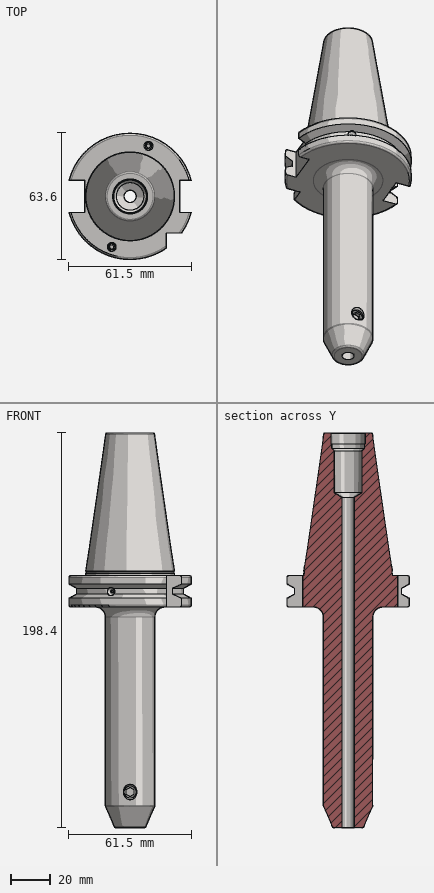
import cadquery as cq
import math


SECTION = cq.Plane(origin=(0, 0, 0), xDir=(0, -1, 0), normal=(-1, 0, 0))

gauge_radius = 44.45 / 2
taper_slope = 7 / 48
taper_height = 68.4
taper_top_radius = gauge_radius - taper_slope * taper_height
taper_top_round = 0.8
taper_foot_z = -1.0
taper_foot_radius = gauge_radius - taper_slope * taper_foot_z
relief_depth = 0.2
relief_width = 1.2

flange_radius = 63.55 / 2
flange_top_z = -3.2
flange_bottom_z = -19.1
flange_edge_round = 1.0
groove_z = -11.1
groove_root_radius = 56.25 / 2
groove_mouth_width = 7.1
groove_flank_angle = 30
groove_depth = flange_radius - groove_root_radius
groove_root_width = groove_mouth_width - 2 * groove_depth * math.tan(math.radians(groove_flank_angle))

slot_width = 16.1
slot_floor_left = 22.8
slot_floor_right = 25.0
notch_x = 18.2
notch_y = -18.5

shank_radius = 12.5
shank_fillet = 5.0
shank_end_z = -130.0
nose_length = 10.9
nose_end_radius = 7.75
nose_shoulder_round = 1.0
nose_end_round = 1.2

tool_bore_radius = 3.0
counterbore_radius = 8.5
counterbore_depth = 5.5
counterbore_chamfer = 0.3
throat_radius = 8.2
throat_depth = 7.7
thread_core_radius = 6.9
thread_depth = 30.0
drill_tip_half_angle = 59

coolant_circle_radius = 27.0
coolant_angle = 20
inlet_radius = 1.65
inlet_countersink_radius = 2.25
inlet_depth = 1.5
inlet_socket_width = 2.0
inlet_socket_depth = 1.5
port_z = -11.3
port_radius = 0.75
port_countersink_radius = 2.0
port_depth = 3.0
port_mouth_depth = 0.3

screw_z = -112.0
screw_hole_radius = 3.0
screw_hole_depth = 2.0
screw_countersink_radius = 3.9
screw_socket_width = 4.0
screw_socket_depth = 2.0


def revolve_half_profile(profile):
    """Turn a closed (radius, Z) half profile about the Z axis."""
    return profile.close().revolve(360, (0, 0, 0), (0, 1, 0))


def make_taper():
    relief_radius = taper_foot_radius - relief_depth
    relief_bottom_z = taper_foot_z - relief_width
    profile = (
        cq.Workplane(SECTION)
        .moveTo(0, taper_height)
        .lineTo(taper_top_radius, taper_height)
        .lineTo(taper_foot_radius, taper_foot_z)
        .lineTo(relief_radius, taper_foot_z - relief_depth)
        .lineTo(relief_radius, relief_bottom_z + relief_depth)
        .lineTo(taper_foot_radius, relief_bottom_z)
        .lineTo(taper_foot_radius, flange_top_z)
        .lineTo(0, flange_top_z)
    )
    return revolve_half_profile(profile).faces(">Z").edges().fillet(taper_top_round)


def make_flange():
    flange = (
        cq.Workplane("XY", origin=(0, 0, flange_bottom_z))
        .circle(flange_radius)
        .extrude(flange_top_z - flange_bottom_z)
        .edges()
        .fillet(flange_edge_round)
    )
    groove = (
        cq.Workplane(SECTION)
        .moveTo(flange_radius, groove_z - groove_mouth_width / 2)
        .lineTo(groove_root_radius, groove_z - groove_root_width / 2)
        .lineTo(groove_root_radius, groove_z + groove_root_width / 2)
        .lineTo(flange_radius, groove_z + groove_mouth_width / 2)
    )
    return flange.cut(revolve_half_profile(groove))


def box_through_flange(x_min, x_max, y_min, y_max):
    return (
        cq.Workplane("XY", origin=(0, 0, flange_bottom_z))
        .moveTo(x_min, y_min)
        .lineTo(x_max, y_min)
        .lineTo(x_max, y_max)
        .lineTo(x_min, y_max)
        .close()
        .extrude(flange_top_z - flange_bottom_z)
    )


def cut_flange_openings(body):
    half_slot = slot_width / 2
    left_slot = box_through_flange(-flange_radius, -slot_floor_left, -half_slot, half_slot)
    right_slot = box_through_flange(slot_floor_right, flange_radius, -half_slot, half_slot)
    notch = box_through_flange(notch_x, flange_radius, -flange_radius, notch_y)
    return body.cut(left_slot).cut(right_slot).cut(notch)


def make_shank():
    nose_top_z = shank_end_z + nose_length
    shank = revolve_half_profile(
        cq.Workplane(SECTION)
        .moveTo(0, flange_bottom_z)
        .lineTo(shank_radius, flange_bottom_z)
        .lineTo(shank_radius, nose_top_z)
        .lineTo(nose_end_radius, shank_end_z)
        .lineTo(0, shank_end_z)
    )
    shank = shank.faces("<Z").edges().fillet(nose_end_round)
    shoulder = cq.selectors.NearestToPointSelector((0, 0, nose_top_z))
    shank = shank.edges(shoulder).fillet(nose_shoulder_round)
    neck = revolve_half_profile(
        cq.Workplane(SECTION)
        .moveTo(0, flange_bottom_z)
        .lineTo(shank_radius + shank_fillet, flange_bottom_z)
        .radiusArc((shank_radius, flange_bottom_z - shank_fillet), -shank_fillet)
        .lineTo(0, flange_bottom_z - shank_fillet)
    )
    return shank.union(neck)


def make_bore():
    """Counterbore, pull-stud thread core and through bore, all on the Z axis."""
    throat_z = taper_height - throat_depth
    throat_chamfer = throat_radius - thread_core_radius
    cone_top_z = taper_height - thread_depth
    cone_height = (thread_core_radius - tool_bore_radius) / math.tan(math.radians(drill_tip_half_angle))
    return revolve_half_profile(
        cq.Workplane(SECTION)
        .moveTo(0, taper_height)
        .lineTo(counterbore_radius + counterbore_chamfer, taper_height)
        .lineTo(counterbore_radius, taper_height - counterbore_chamfer)
        .lineTo(counterbore_radius, taper_height - counterbore_depth)
        .lineTo(throat_radius, taper_height - counterbore_depth)
        .lineTo(throat_radius, throat_z)
        .lineTo(thread_core_radius, throat_z - throat_chamfer)
        .lineTo(thread_core_radius, cone_top_z)
        .lineTo(tool_bore_radius, cone_top_z - cone_height)
        .lineTo(tool_bore_radius, shank_end_z)
        .lineTo(0, shank_end_z)
    )


def countersunk_hole(rim_radius, hole_radius, depth):
    """Blind hole going down from the origin along -Z, with a 90 degree countersink at its mouth."""
    return revolve_half_profile(
        cq.Workplane(SECTION)
        .lineTo(rim_radius, 0)
        .lineTo(hole_radius, hole_radius - rim_radius)
        .lineTo(hole_radius, -depth)
        .lineTo(0, -depth)
    )


def hex_socket(floor_depth, width_across_flats, depth):
    """Hexagonal pocket that starts at a hole floor below the origin."""
    return (
        cq.Workplane("XY", origin=(0, 0, -floor_depth))
        .polygon(6, width_across_flats, circumscribed=True)
        .extrude(-depth)
    )


def face_toward_front(hole):
    """Turn a hole that goes down along -Z so that it goes inward along +Y."""
    return hole.rotate((0, 0, 0), (1, 0, 0), 90)


def make_coolant_hole():
    """Socketed blind hole in the flange face and radial port in the groove root."""
    port_cone_distance = groove_root_radius - port_mouth_depth
    port_mouth_height = flange_radius - port_cone_distance
    inlet = countersunk_hole(inlet_countersink_radius, inlet_radius, inlet_depth)
    socket = hex_socket(inlet_depth, inlet_socket_width, inlet_socket_depth)
    inlet = inlet.union(socket).translate((0, -coolant_circle_radius, flange_top_z))
    port = countersunk_hole(port_countersink_radius, port_radius, port_depth)
    mouth = cq.Workplane("XY").circle(port_countersink_radius).extrude(port_mouth_height)
    port = face_toward_front(port.union(mouth)).translate((0, -port_cone_distance, port_z))
    return inlet.union(port).rotate((0, 0, 0), (0, 0, 1), -coolant_angle)


def make_screw_hole():
    """Countersunk blind hole with a hexagonal socket in its floor, entering the shank from -Y."""
    hole = countersunk_hole(screw_countersink_radius, screw_hole_radius, screw_hole_depth)
    socket = hex_socket(screw_hole_depth, screw_socket_width, screw_socket_depth)
    return face_toward_front(hole.union(socket)).translate((0, -shank_radius, screw_z))


body = make_flange().union(make_taper()).union(make_shank())
body = cut_flange_openings(body).cut(make_bore())
for turn in (0, 180):
    for hole in (make_coolant_hole(), make_screw_hole()):
        body = body.cut(hole.rotate((0, 0, 0), (0, 0, 1), turn))

result = body